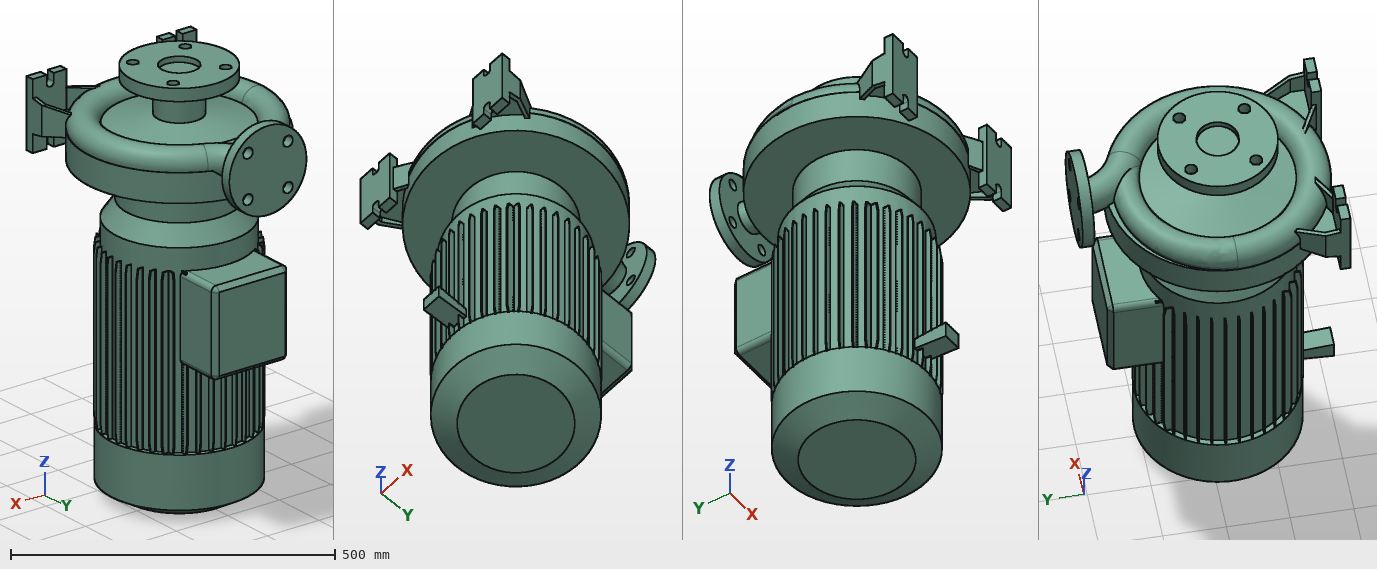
import cadquery as cq
import math


cap_r = 131.5
cap_base_r = 91.0
cap_chamfer_h = 23.0
cap_top_z = 116.0
core_r = 122.0
fin_top_z = 421.0
fin_tip_r = 132.0
fin_end_r = 130.0
fin_taper_h = 16.5
fin_thick = 1.8
fin_step_deg = 10
fins_per_octant = 5
shoulder_z = 460.0

adapter_r = 99.5
adapter_bottom_z = 492.0

casing_r = 175.0
casing_bottom_z = 557.0
casing_top_z = 608.5
tube_r = 27.0
tube_z = 614.0
tube_path_r = casing_r - tube_r
tube_inner_r = tube_path_r - tube_r
tail_start_deg = 180
tail_end_r = 21.0
tail_sections = 6
cover_edge_z = 618.5

neck_r = 41.0
neck_base_z = 634.0
inlet_flange_r = 93.0
inlet_flange_thick = 22.0
inlet_top_z = 715.0
inlet_bolt_circle_r = 72.0
inlet_bore_r = 33.0
inlet_bore_depth = 10.0

outlet_bend_r = 94.5
outlet_flange_r = 75.0
outlet_flange_thick = 18.5
outlet_face_y = 225.0
outlet_bolt_circle_r = 55.0

bolt_hole_r = 9.0
bolt_count = 4
bolt_start_deg = 45

mount_y = -179.5
foot_inner_x = 94.0
foot_outer_x = 159.5
foot_half_h = 62.0
foot_thick = 16.0
slot_x = 125.0
slot_w = 13.5
slot_depth = 21.5
rib_width_x = 7.0
rib_width_y = 7.0
rib_root_half_h = 30.0
rib_end_half_h = 16.5
outer_rib_bend_y = -141.0
outer_rib_end_x = 129.0
outer_rib_end_y = -79.5
inner_rib_start_y = -171.5
inner_rib_end_x = 41.5
inner_rib_end_y = -144.0
web_thick = 7.0

box_w = 146.0
box_face_y = 185.0
box_bottom_z = 263.0
box_fillet = 9.0
box_chamfer = 8.5

lug_z = 166.0
lug_w = 34.0
lug_tip_h = 28.5
lug_root_h = 19.0
lug_root_y = -118.0


def cylinder(radius, bottom_z, height):
    return cq.Workplane("XY").workplane(offset=bottom_z).circle(radius).extrude(height)


def slab(x0, x1, y0, y1, z0, z1):
    return cq.Workplane("XY").box(x1 - x0, y1 - y0, z1 - z0, centered=False).translate((x0, y0, z0))


def prism(outline, z0, z1):
    return cq.Workplane("XY").workplane(offset=z0).polyline(outline).close().extrude(z1 - z0)


def motor_and_casing():
    """Turned body: fan cap, motor core, adapter, casing disc, conical cover and inlet neck."""
    profile = [
        (0, 0),
        (cap_base_r, 0),
        (cap_r, cap_chamfer_h),
        (cap_r, cap_top_z),
        (core_r, cap_top_z),
        (core_r, shoulder_z),
        (adapter_r, adapter_bottom_z),
        (adapter_r, casing_bottom_z),
        (casing_r, casing_bottom_z),
        (casing_r, casing_top_z),
        (tube_path_r, casing_top_z),
        (tube_inner_r, cover_edge_z),
        (neck_r, neck_base_z),
        (neck_r, inlet_top_z - inlet_flange_thick),
        (0, inlet_top_z - inlet_flange_thick),
    ]
    return cq.Workplane("XZ").polyline(profile).close().revolve(360, (0, 0), (0, 1))


def cooling_fins():
    """Straight fins, parallel to X or Y, trimmed to a round envelope that narrows at both ends."""
    envelope_profile = [
        (0, cap_top_z),
        (fin_end_r, cap_top_z),
        (fin_tip_r, cap_top_z + fin_taper_h),
        (fin_tip_r, fin_top_z - fin_taper_h),
        (fin_end_r, fin_top_z),
        (0, fin_top_z),
    ]
    envelope = cq.Workplane("XZ").polyline(envelope_profile).close().revolve(360, (0, 0), (0, 1))
    offsets = []
    for i in range(fins_per_octant):
        offset = core_r * math.sin(math.radians(fin_step_deg * (i + 0.5)))
        offsets += [offset, -offset]
    plates = cylinder(core_r, cap_top_z, fin_top_z - cap_top_z)
    for offset in offsets:
        side0 = offset - fin_thick / 2
        side1 = offset + fin_thick / 2
        plates = plates.union(slab(side0, side1, -casing_r, casing_r, cap_top_z, fin_top_z))
        plates = plates.union(slab(-casing_r, casing_r, side0, side1, cap_top_z, fin_top_z))
    return plates.intersect(envelope)


def terminal_box():
    """Box on the +Y side of the motor with rounded long edges and a chamfered outer face."""
    box = slab(-box_w / 2, box_w / 2, 0, box_face_y, box_bottom_z, fin_top_z)
    return box.edges("|Y").fillet(box_fillet).faces(">Y").chamfer(box_chamfer)


def support_lug():
    """Lug on the motor whose height shrinks from its mounting face toward the motor core."""
    return (
        cq.Workplane("XZ", origin=(0, mount_y, lug_z))
        .rect(lug_w, lug_tip_h)
        .workplane(offset=mount_y - lug_root_y)
        .rect(lug_w, lug_root_h)
        .loft(combine=True)
    )


def volute():
    """Round tube around the casing, the bend that leads to the outlet, and the thinner tail."""
    bend_centers = tube_path_r + outlet_bend_r
    bend_angle = math.acos(outlet_bend_r / bend_centers)
    bend_deg = math.degrees(bend_angle)
    bend_y = bend_centers * math.sin(bend_angle)

    ring_sweep = 360 - tail_start_deg + bend_deg
    ring = (
        cq.Workplane("XZ")
        .center(-tube_path_r, tube_z)
        .circle(tube_r)
        .revolve(ring_sweep, (tube_path_r, 0), (tube_path_r, 1))
    )
    bend = (
        cq.Workplane("XZ")
        .center(-outlet_bend_r, tube_z)
        .circle(tube_r)
        .revolve(bend_deg, (outlet_bend_r, 0), (outlet_bend_r, 1))
        .translate((outlet_bend_r, bend_y, 0))
    )

    wires = []
    for i in range(tail_sections):
        share = i / (tail_sections - 1)
        angle = math.radians(tail_start_deg + (bend_deg - tail_start_deg) * share)
        radius = tube_r + (tail_end_r - tube_r) * share
        path_r = tube_inner_r + radius
        center = cq.Vector(path_r * math.cos(angle), path_r * math.sin(angle), tube_z)
        tangent = cq.Vector(-math.sin(angle), math.cos(angle), 0)
        wires.append(cq.Wire.makeCircle(radius, center, tangent))
    tail = cq.Workplane(cq.Solid.makeLoft(wires))
    return ring, bend, tail


def inlet_flange():
    flange = cylinder(inlet_flange_r, inlet_top_z - inlet_flange_thick, inlet_flange_thick)
    flange = (
        flange.faces(">Z")
        .workplane()
        .polarArray(inlet_bolt_circle_r, bolt_start_deg, 360, bolt_count)
        .circle(bolt_hole_r)
        .cutThruAll()
    )
    return flange


def outlet_flange():
    return (
        cq.Workplane("XZ", origin=(0, outlet_face_y, tube_z))
        .circle(outlet_flange_r)
        .polarArray(outlet_bolt_circle_r, bolt_start_deg, 360, bolt_count)
        .circle(bolt_hole_r)
        .extrude(outlet_flange_thick)
    )


def right_foot():
    """Slotted foot plate on the +X side with two splayed ribs and a web between them."""
    plate_y = mount_y + foot_thick
    bottom_z = tube_z - foot_half_h
    top_z = tube_z + foot_half_h
    plate = slab(foot_inner_x, foot_outer_x, mount_y, plate_y, bottom_z, top_z)
    for end_z in (bottom_z, top_z):
        slot = (
            cq.Workplane("XZ", origin=(slot_x, plate_y, end_z))
            .slot2D(2 * slot_depth, slot_w, 90)
            .extrude(foot_thick)
        )
        plate = plate.cut(slot)

    outer_rib = [
        (foot_outer_x, plate_y),
        (foot_outer_x, outer_rib_bend_y),
        (outer_rib_end_x, outer_rib_end_y),
        (outer_rib_end_x - rib_width_x, outer_rib_end_y),
        (foot_outer_x - rib_width_x, outer_rib_bend_y),
        (foot_outer_x - rib_width_x, plate_y),
    ]
    inner_rib = [
        (foot_inner_x, inner_rib_start_y),
        (inner_rib_end_x, inner_rib_end_y),
        (inner_rib_end_x, inner_rib_end_y + rib_width_y),
        (foot_inner_x, inner_rib_start_y + rib_width_y),
    ]
    web = [
        (foot_inner_x, plate_y),
        (inner_rib_end_x, inner_rib_end_y),
        (outer_rib_end_x, outer_rib_end_y),
        (foot_outer_x, outer_rib_bend_y),
        (foot_outer_x, plate_y),
    ]
    rib_side = [
        (mount_y, tube_z - rib_root_half_h),
        (plate_y, tube_z - rib_root_half_h),
        (outer_rib_end_y, tube_z - rib_end_half_h),
        (outer_rib_end_y, tube_z + rib_end_half_h),
        (plate_y, tube_z + rib_root_half_h),
        (mount_y, tube_z + rib_root_half_h),
    ]
    ribs = prism(outer_rib, bottom_z, top_z).union(prism(inner_rib, bottom_z, top_z))
    ribs = ribs.intersect(cq.Workplane("YZ").polyline(rib_side).close().extrude(casing_r))
    return plate.union(ribs).union(prism(web, casing_top_z - web_thick, casing_top_z))


foot = right_foot()
pieces = [
    cooling_fins(),
    terminal_box(),
    support_lug(),
    *volute(),
    inlet_flange(),
    outlet_flange(),
    foot,
    foot.mirror("YZ"),
]
result = motor_and_casing()
for piece in pieces:
    result = result.union(piece)
result = result.cut(cylinder(inlet_bore_r, inlet_top_z - inlet_bore_depth, inlet_bore_depth))